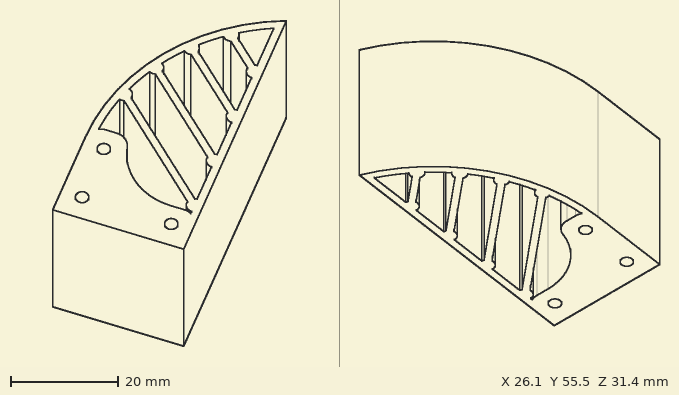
import cadquery as cq
import math

width = 26.05
length = 55.5
height = 31.4
straight_length = 17.6
wall = 1.6

tip_rise = length - straight_length
outer_radius = (width**2 + tip_rise**2) / (2 * width)
inner_radius = outer_radius - wall
wall_x = width - wall

base_top = 20.55
base_low = 8.5
base_corner_radius = 3.0
sweep_radius = 12.45
sweep_x = 20.25

rib_count = 4
rib_pitch = 10.8
first_rib_y = 10.1
rib_angle = math.radians(42.6)
rib_width = 1.5
boss_radius = 1.5

hole_diameter = 2.5
hole_side_inset = 4.15
hole_low_y = 4.6
hole_high_y = 16.3


def arc_point(radius, angle):
    """Point of the curved side at an angle measured up from the -X direction."""
    return (
        outer_radius - radius * math.cos(angle),
        straight_length + radius * math.sin(angle),
    )


def curved_prism(radius, right_x, bottom_y):
    """Prism between a vertical right side and an arc running into a straight left side."""
    end_angle = math.acos((outer_radius - right_x) / radius)
    return (
        cq.Workplane("XY")
        .moveTo(right_x, bottom_y)
        .lineTo(right_x, arc_point(radius, end_angle)[1])
        .threePointArc(arc_point(radius, end_angle / 2), arc_point(radius, 0))
        .lineTo(outer_radius - radius, bottom_y)
        .close()
        .extrude(height)
    )


def base():
    """Solid foot whose rounded tall corner flows tangentially into the concave sweep."""
    r = base_corner_radius
    sweep_y = base_low + sweep_radius
    corner_y = base_top - r
    center_distance = sweep_radius + r
    blend_angle = math.asin((sweep_y - corner_y) / center_distance)
    corner_x = sweep_x - center_distance * math.cos(blend_angle)
    blend = (corner_x + r * math.cos(blend_angle), corner_y + r * math.sin(blend_angle))
    corner_mid_angle = (math.pi / 2 + blend_angle) / 2
    corner_mid = (
        corner_x + r * math.cos(corner_mid_angle),
        corner_y + r * math.sin(corner_mid_angle),
    )
    sweep_mid_angle = (math.pi + blend_angle + 1.5 * math.pi) / 2
    sweep_mid = (
        sweep_x + sweep_radius * math.cos(sweep_mid_angle),
        sweep_y + sweep_radius * math.sin(sweep_mid_angle),
    )
    diagonal_inset = r * (1 - math.sqrt(0.5))
    return (
        cq.Workplane("XY")
        .lineTo(0, corner_y)
        .threePointArc((diagonal_inset, base_top - diagonal_inset), (r, base_top))
        .lineTo(corner_x, base_top)
        .threePointArc(corner_mid, blend)
        .threePointArc(sweep_mid, (sweep_x, base_low))
        .lineTo(width - r, base_low)
        .threePointArc((width - diagonal_inset, base_low - diagonal_inset), (width, base_low - r))
        .lineTo(width, 0)
        .close()
        .extrude(height)
    )


def rib(right_y):
    """Rib from the right wall's inner face to the curved wall's inner face, with its end bosses."""
    dir_x, dir_y = -math.cos(rib_angle), math.sin(rib_angle)
    from_center = (wall_x - outer_radius, right_y - straight_length)
    along = from_center[0] * dir_x + from_center[1] * dir_y
    reach = from_center[0]**2 + from_center[1]**2 - inner_radius**2
    rib_length = -along + math.sqrt(along**2 - reach)
    left_end = (wall_x + rib_length * dir_x, right_y + rib_length * dir_y)
    right_end = (wall_x, right_y)
    middle = ((left_end[0] + wall_x) / 2, (left_end[1] + right_y) / 2)
    bar = (
        cq.Workplane("XY")
        .center(*middle)
        .transformed(rotate=(0, 0, -math.degrees(rib_angle)))
        .rect(rib_length, rib_width)
        .extrude(height)
    )
    bosses = cq.Workplane("XY").pushPoints([left_end, right_end]).circle(boss_radius).extrude(height)
    return bar.union(bosses)


outer_body = curved_prism(outer_radius, width, 0)
cavity = curved_prism(inner_radius, wall_x, wall)

filling = base()
for index in range(rib_count):
    filling = filling.union(rib(first_rib_y + index * rib_pitch))

hole_centers = [
    (hole_side_inset, hole_low_y),
    (hole_side_inset, hole_high_y),
    (width - hole_side_inset, hole_low_y),
]
holes = cq.Workplane("XY").pushPoints(hole_centers).circle(hole_diameter / 2).extrude(height)

result = outer_body.cut(cavity.cut(filling)).cut(holes)